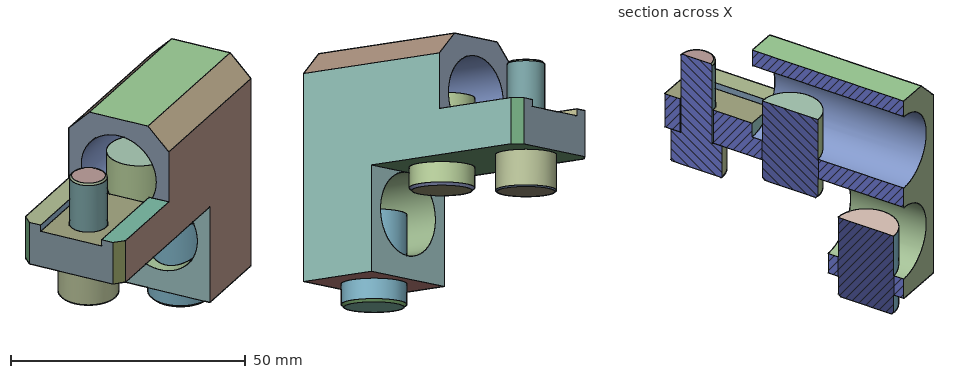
import cadquery as cq


width = 24.0
length = 60.0
height = 50.0
block_start = 22.0
leg_length = 19.0
leg_start = length - leg_length
arm_bottom = 23.0
arm_top = 33.0
top_chamfer = 5.0
tip_chamfer = 2.0

bore_diameter = 18.0
bore_edge_gap = 4.0
upper_bore_z = height - bore_edge_gap - bore_diameter / 2
lower_bore_z = arm_bottom - bore_diameter / 2

groove_width = 14.6
groove_depth = 1.5

clamp_diameter = 14.0
clamp_length = 20.0
clamp_protrusion = 5.0
clamp_chamfer = 0.6
clamp_positions = [
    ((block_start + leg_start) / 2, arm_bottom - clamp_protrusion),
    (leg_start + leg_length / 2, -clamp_protrusion),
]

screw_y = 8.0
shank_diameter = 8.0
shank_hole_diameter = 8.3
shank_length = 20.0
shank_chamfer = 0.4
head_diameter = 13.0
head_height = 8.0
head_chamfer = 0.3


def upright_cylinder(diameter, cylinder_length, y, bottom_z):
    """Cylinder parallel to Z, standing on bottom_z in the middle of the width."""
    base = cq.Workplane("XY", origin=(0, y, bottom_z))
    return base.circle(diameter / 2).extrude(cylinder_length)


def rod_bore(start_y, center_z):
    """Cutter for a rod bore running from start_y to the back of the housing."""
    base = cq.Workplane("XZ", origin=(0, start_y, center_z))
    return base.circle(bore_diameter / 2).extrude(start_y - length)


def make_clamp_pin(y, bottom_z):
    pin = upright_cylinder(clamp_diameter, clamp_length, y, bottom_z)
    return pin.faces("<Z").chamfer(clamp_chamfer)


def make_screw():
    head = upright_cylinder(head_diameter, head_height, screw_y, arm_bottom - head_height)
    head = head.faces("<Z").chamfer(head_chamfer)
    shank = upright_cylinder(shank_diameter, shank_length, screw_y, arm_bottom)
    shank = shank.faces(">Z").chamfer(shank_chamfer)
    return head.union(shank)


def make_housing():
    side_profile = [
        (0, arm_bottom),
        (leg_start, arm_bottom),
        (leg_start, 0),
        (length, 0),
        (length, height),
        (block_start, height),
        (block_start, arm_top),
        (0, arm_top),
    ]
    body = cq.Workplane("YZ").polyline(side_profile).close().extrude(width / 2, both=True)
    body = body.faces(">Z").edges("|Y").chamfer(top_chamfer)
    body = body.faces("<Y").edges("|Z").chamfer(tip_chamfer)

    groove = cq.Workplane("XY").box(
        groove_width, block_start, groove_depth, centered=(True, False, False)
    )
    body = body.cut(groove.translate((0, 0, arm_top - groove_depth)))

    body = body.cut(rod_bore(block_start, upper_bore_z))
    body = body.cut(rod_bore(leg_start, lower_bore_z))

    for y, bottom_z in clamp_positions:
        body = body.cut(upright_cylinder(clamp_diameter, clamp_length, y, bottom_z))

    return body.cut(upright_cylinder(shank_hole_diameter, shank_length, screw_y, arm_bottom))


housing = make_housing()
clamp_pins = [make_clamp_pin(y, bottom_z) for y, bottom_z in clamp_positions]
screw = make_screw()

result = cq.Compound.makeCompound([housing.val(), *[pin.val() for pin in clamp_pins], screw.val()])